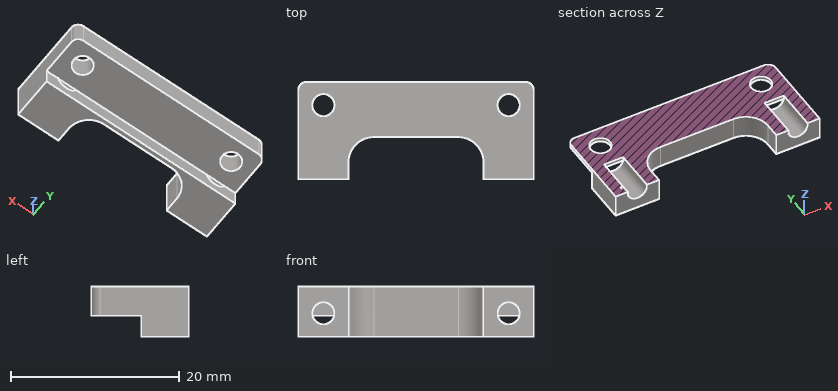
import cadquery as cq

length = 28.0
depth = 11.6
height = 6.0

plate_thickness = 3.5
block_depth = 5.65
rear_corner_radius = 1.0

leg_width = height
notch_width = length - 2 * leg_width
notch_depth = 5.0
notch_radius = leg_width / 2

hole_diameter = 2.6
hole_offset_x = (length - leg_width) / 2
plate_hole_from_rear = 2.77
leg_hole_height = 2.8


def make_body():
    """Plate with rounded rear corners, thickened downwards along the front."""
    plate = (
        cq.Workplane("XY")
        .box(length, depth, plate_thickness, centered=(True, False, False))
        .translate((0, 0, height - plate_thickness))
        .edges("|Z and >Y")
        .fillet(rear_corner_radius)
    )
    block = cq.Workplane("XY").box(length, block_depth, height, centered=(True, False, False))
    return plate.union(block)


def make_notch():
    """Full-height opening in the front with rounded inner corners."""
    return (
        cq.Workplane("XY")
        .box(notch_width, notch_depth, height, centered=(True, False, False))
        .edges("|Z and >Y")
        .fillet(notch_radius)
    )


def make_plate_hole(x):
    """Vertical hole through the plate."""
    return (
        cq.Workplane("XY")
        .center(x, depth - plate_hole_from_rear)
        .circle(hole_diameter / 2)
        .extrude(height)
    )


def make_leg_hole(x):
    """Horizontal hole from the leg front to the rear face of the block."""
    return (
        cq.Workplane("XZ")
        .center(x, leg_hole_height)
        .circle(hole_diameter / 2)
        .extrude(-block_depth)
    )


result = make_body().cut(make_notch())
for hole_x in (-hole_offset_x, hole_offset_x):
    result = result.cut(make_plate_hole(hole_x)).cut(make_leg_hole(hole_x))